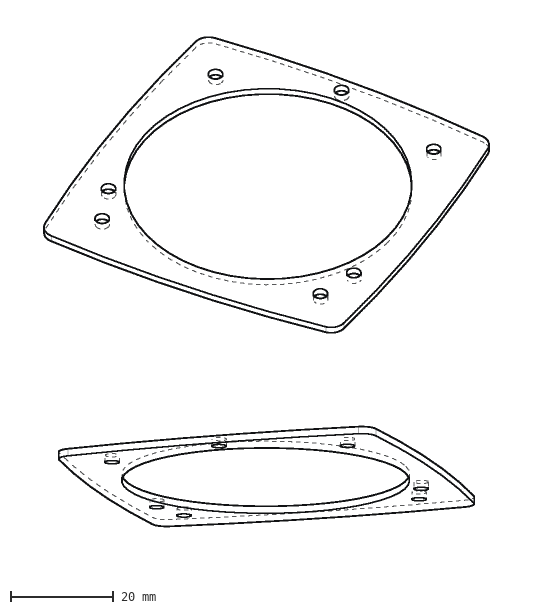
import cadquery as cq
import math

plate_size = 68.25
plate_thickness = 1.4
side_radius = 290.1
corner_radius = 3.0
opening_diameter = 56.0
screw_hole_diameter = 2.8
square_pitch = 47.85
ring_radius = 31.05
ring_hole_count = 3
first_ring_angle = 90.0

left_crest_y = -6.4
right_crest_y = 5.7
top_crest_x = -7.25
bottom_crest_x = -4.8


def side_disc(turn, shift):
    """Large disc bounding the left side, turned about Z to bound another side."""
    centre_distance = side_radius - plate_size / 2
    disc = cq.Workplane("XY").center(centre_distance, shift).circle(side_radius).extrude(plate_thickness)
    return disc.rotate((0, 0, 0), (0, 0, 1), turn)


def bowed_plate():
    """Common area of four discs, with the corners rounded."""
    plate = side_disc(0, left_crest_y)
    plate = plate.intersect(side_disc(90, -bottom_crest_x))
    plate = plate.intersect(side_disc(180, -right_crest_y))
    plate = plate.intersect(side_disc(270, top_crest_x))
    return plate.edges("|Z").fillet(corner_radius)


def ring_points():
    """Evenly spaced hole centres around the opening."""
    points = []
    for index in range(ring_hole_count):
        angle = math.radians(first_ring_angle + index * 360 / ring_hole_count)
        points.append((ring_radius * math.cos(angle), ring_radius * math.sin(angle)))
    return points


half_pitch = square_pitch / 2
square_points = [(x, y) for x in (-half_pitch, half_pitch) for y in (-half_pitch, half_pitch)]

opening = cq.Workplane("XY").circle(opening_diameter / 2).extrude(plate_thickness)
screw_holes = (
    cq.Workplane("XY")
    .pushPoints(square_points + ring_points())
    .circle(screw_hole_diameter / 2)
    .extrude(plate_thickness)
)

result = bowed_plate().cut(opening).cut(screw_holes)